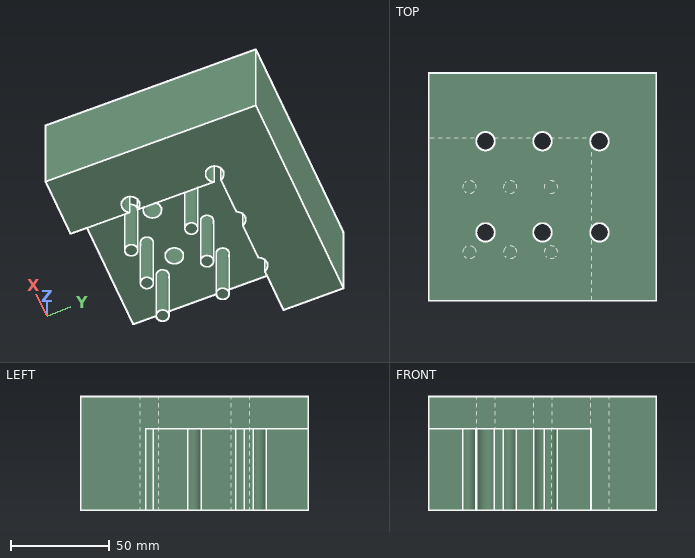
import cadquery as cq

SIDE = 116.02
HEIGHT = SIDE / 2

WALL = 2 * SIDE / 7
POCKET_SIDE = SIDE - WALL
PLATE_THICKNESS = SIDE / 7
POCKET_DEPTH = HEIGHT - PLATE_THICKNESS

HOLE_DIAMETER = 9.28
HOLE_COLUMNS = 3
HOLE_ROWS = 2
HOLE_PITCH_X = SIDE / 4
HOLE_PITCH_Y = 2 * SIDE / 5

PIN_DIAMETER = 6.63
PIN_COLUMNS = 3
PIN_ROWS = 2
PIN_PITCH_X = POCKET_SIDE / 4
PIN_PITCH_Y = 2 * POCKET_SIDE / 5

BOTTOM = -HEIGHT / 2
POCKET_CENTER = (POCKET_SIDE - SIDE) / 2


def make_block():
    """Square block with the corner pocket removed from below."""
    block = cq.Workplane("XY").box(SIDE, SIDE, HEIGHT)
    pocket = (
        cq.Workplane("XY", origin=(POCKET_CENTER, POCKET_CENTER, BOTTOM))
        .rect(POCKET_SIDE, POCKET_SIDE)
        .extrude(POCKET_DEPTH)
    )
    return block.cut(pocket)


def make_holes():
    """Cylinders for the through holes; some also groove the pocket walls."""
    return (
        cq.Workplane("XY", origin=(0, 0, BOTTOM))
        .rarray(HOLE_PITCH_X, HOLE_PITCH_Y, HOLE_COLUMNS, HOLE_ROWS)
        .circle(HOLE_DIAMETER / 2)
        .extrude(HEIGHT)
    )


def make_pins():
    """Round pins from the pocket roof down to the bottom of the block."""
    return (
        cq.Workplane("XY", origin=(POCKET_CENTER, POCKET_CENTER, BOTTOM))
        .rarray(PIN_PITCH_X, PIN_PITCH_Y, PIN_COLUMNS, PIN_ROWS)
        .circle(PIN_DIAMETER / 2)
        .extrude(POCKET_DEPTH)
    )


result = make_block().cut(make_holes()).union(make_pins())